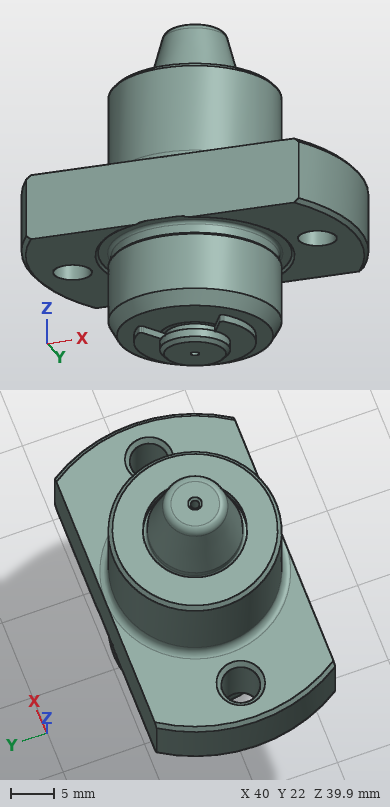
import cadquery as cq
import math


flange_diameter = 40.0
flange_width = 22.0
flange_thickness = 8.0
flange_radius = flange_diameter / 2
edge_chamfer = 0.5

barrel_diameter = 20.0
barrel_radius = barrel_diameter / 2
barrel_top = 20.0
barrel_bottom = -10.0
root_fillet = (flange_width - barrel_diameter) / 2
lead_in = 1.0
lead_in_angle = 30.0
lead_in_height = lead_in / math.tan(math.radians(lead_in_angle))

relief_depth = 0.3
relief_reach = 1.5
relief_corner_radius = 0.4

screw_spacing = 30.0
screw_hole_diameter = 4.5
screw_chamfer = 0.55
countersink_angle = 90.0

head_diameter = 12.0
head_radius = head_diameter / 2
head_seat = flange_thickness
shank_diameter = 8.1
shank_radius = shank_diameter / 2
pin_top = 27.6
pin_bottom = -12.3
tip_flat_radius = 2.8
tip_round = 1.0
tip_angle = 15.0
cone_base = 20.3
shoulder_top = 19.0
shoulder_fillet = 0.5
air_hole_diameter = 1.0
air_hole_chamfer = 0.3

groove_diameter = 7.0
groove_radius = groove_diameter / 2
collar_radius = 7.05
collar_thickness = 0.85
collar_bottom = barrel_bottom - collar_thickness
opening_half_angle = 30.0
collar_tip_level = -4.75
collar_tip_round = 0.2


def disc(radius, bottom, top):
    """Cylinder on the Z axis between two levels."""
    return cq.Workplane("XY").workplane(offset=bottom).circle(radius).extrude(top - bottom)


def revolve_profile(profile):
    """Turn a closed (radius, Z) outline on XZ about the Z axis."""
    return profile.close().revolve(360, (0, 0), (0, 1))


def make_flange():
    """Disc with chamfered rims, narrowed to the two flats."""
    chamfered_disc = disc(flange_radius, 0, flange_thickness).edges().chamfer(edge_chamfer)
    slab = cq.Workplane("XY").box(
        flange_diameter, flange_width, flange_thickness, centered=(True, True, False)
    )
    return chamfered_disc.intersect(slab)


def make_barrel():
    """Turned barrel with a wider band inside the flange that carries the root fillet."""
    band_bottom = flange_thickness / 2
    fillet_top = flange_thickness + root_fillet
    profile = (
        cq.Workplane("XZ")
        .moveTo(0, barrel_bottom)
        .lineTo(barrel_radius - lead_in, barrel_bottom)
        .lineTo(barrel_radius, barrel_bottom + lead_in_height)
        .lineTo(barrel_radius, band_bottom)
        .lineTo(barrel_radius + root_fillet, band_bottom)
        .lineTo(barrel_radius + root_fillet, flange_thickness)
        .radiusArc((barrel_radius, fillet_top), root_fillet)
        .lineTo(barrel_radius, barrel_top - edge_chamfer)
        .lineTo(barrel_radius - edge_chamfer, barrel_top)
        .lineTo(0, barrel_top)
    )
    return revolve_profile(profile)


def make_corner_relief():
    """Ring that undercuts both the flange underside and the lower barrel."""
    neck_radius = barrel_radius - relief_depth
    outer_radius = barrel_radius + relief_reach
    profile = (
        cq.Workplane("XZ")
        .moveTo(barrel_radius, -relief_reach)
        .lineTo(neck_radius, -relief_reach + relief_depth)
        .lineTo(neck_radius, relief_depth - relief_corner_radius)
        .radiusArc((neck_radius + relief_corner_radius, relief_depth), relief_corner_radius)
        .lineTo(outer_radius - relief_depth, relief_depth)
        .lineTo(outer_radius, 0)
        .lineTo(outer_radius, -relief_reach)
    )
    return revolve_profile(profile)


def make_housing():
    """Flange and barrel with the screw holes and the stepped bore for the pin."""
    body = make_flange().union(make_barrel()).cut(make_corner_relief())
    drilled = (
        body.copyWorkplane(cq.Workplane("XY", origin=(0, 0, flange_thickness)))
        .pushPoints([(-screw_spacing / 2, 0), (screw_spacing / 2, 0)])
        .cskHole(screw_hole_diameter, screw_hole_diameter + 2 * screw_chamfer, countersink_angle)
    )
    bore = disc(shank_radius, barrel_bottom, head_seat).union(disc(head_radius, head_seat, barrel_top))
    return drilled.cut(bore)


def make_pin_blank():
    """Turned shape of the pin, from the lower end up to the rounded conical tip."""
    slope_cos = math.cos(math.radians(tip_angle))
    slope_sin = math.sin(math.radians(tip_angle))
    cone_top_radius = tip_flat_radius + tip_round * slope_cos
    cone_top = pin_top - tip_round * (1 - slope_sin)
    cone_base_radius = cone_top_radius + (cone_top - cone_base) * math.tan(math.radians(tip_angle))
    profile = (
        cq.Workplane("XZ")
        .moveTo(0, pin_bottom)
        .lineTo(shank_radius - edge_chamfer, pin_bottom)
        .lineTo(shank_radius, pin_bottom + edge_chamfer)
        .lineTo(shank_radius, collar_bottom)
        .lineTo(groove_radius, collar_bottom)
        .lineTo(groove_radius, barrel_bottom)
        .lineTo(shank_radius, barrel_bottom)
        .lineTo(shank_radius, head_seat)
        .lineTo(head_radius, head_seat)
        .lineTo(head_radius, shoulder_top)
        .lineTo(cone_base_radius + shoulder_fillet, shoulder_top)
        .radiusArc((cone_base_radius, shoulder_top + shoulder_fillet), shoulder_fillet)
        .lineTo(cone_base_radius, cone_base)
        .lineTo(cone_top_radius, cone_top)
        .radiusArc((tip_flat_radius, pin_top), -tip_round)
        .lineTo(0, pin_top)
    )
    return revolve_profile(profile)


def make_collar():
    """Ring in the pin groove, open toward -Y between two diverging ends."""
    wedge_length = 2 * collar_radius
    wedge_half_width = wedge_length * math.tan(math.radians(opening_half_angle))
    wedge_end = groove_radius - wedge_length
    opening = (
        cq.Workplane("XY", origin=(0, 0, collar_bottom))
        .polyline([(0, groove_radius), (-wedge_half_width, wedge_end), (wedge_half_width, wedge_end)])
        .close()
        .extrude(collar_thickness)
    )
    tip_trim = (
        cq.Workplane("XY", origin=(0, collar_tip_level, collar_bottom))
        .rect(2 * collar_radius, 2 * collar_radius)
        .extrude(collar_thickness)
        .translate((0, -collar_radius, 0))
    )
    open_disc = disc(collar_radius, collar_bottom, barrel_bottom).cut(opening).cut(tip_trim)
    tip_edges = cq.selectors.BoxSelector(
        (-collar_radius, -collar_radius, collar_bottom),
        (collar_radius, -groove_radius, barrel_bottom),
    )
    rounded = open_disc.edges("|Z").edges(tip_edges).fillet(collar_tip_round)
    return rounded.cut(disc(groove_radius, collar_bottom, barrel_bottom))


def make_pin():
    """Pin with its collar and a central air hole through its full length."""
    return (
        make_pin_blank()
        .union(make_collar())
        .faces(">Z")
        .workplane(origin=(0, 0, pin_top))
        .cskHole(air_hole_diameter, air_hole_diameter + 2 * air_hole_chamfer, countersink_angle)
    )


housing = make_housing()
pin = make_pin()

result = cq.Compound.makeCompound([housing.solids().val(), pin.solids().val()])